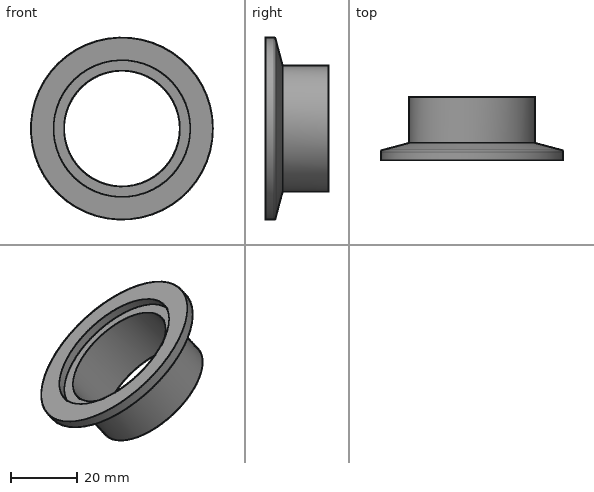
import cadquery as cq
import math

flange_diameter = 54.9
tube_diameter = 38.1
bore_diameter = 34.8
length = 19.1

recess_diameter = 41.2
recess_depth = 2.54

edge_thickness = 3.0
edge_radius = 0.5
taper_angle = math.radians(15)

flange_radius = flange_diameter / 2
tube_radius = tube_diameter / 2
taper_end_y = edge_thickness + (flange_radius - tube_radius) * math.tan(taper_angle)

round_angle = math.pi / 2 - taper_angle
rim_thickness = edge_thickness - edge_radius * math.tan(round_angle / 2)


def rounding_point(angle):
    """Point on the edge rounding, at an angle measured from the rim."""
    return (
        flange_radius - edge_radius + edge_radius * math.cos(angle),
        rim_thickness + edge_radius * math.sin(angle),
    )


def flange_and_tube():
    """Solid of revolution: rim, rounded edge, tapered back and stub tube."""
    return (
        cq.Workplane("XY")
        .lineTo(flange_radius, 0)
        .lineTo(flange_radius, rim_thickness)
        .threePointArc(rounding_point(round_angle / 2), rounding_point(round_angle))
        .lineTo(tube_radius, taper_end_y)
        .lineTo(tube_radius, length)
        .lineTo(0, length)
        .close()
        .revolve(360, (0, 0, 0), (0, 1, 0))
    )


def round_hole(diameter, depth):
    """Cylinder about the Y axis, reaching from the sealing face toward +Y."""
    return cq.Workplane("XZ").circle(diameter / 2).extrude(-depth)


bore = round_hole(bore_diameter, length)
recess = round_hole(recess_diameter, recess_depth)

result = flange_and_tube().cut(bore).cut(recess)